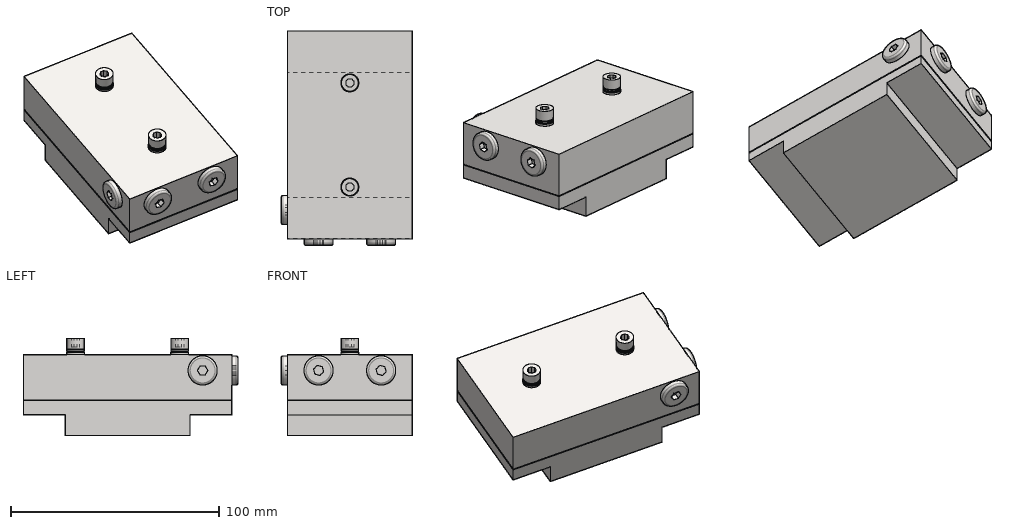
import cadquery as cq
import math

body_width = 60.0
body_length = 100.0
foot_length = body_width
foot_height = 10.0
plate_height = 7.0
block_height = 14.9
seam_groove_height = 0.2
seam_groove_depth = 0.2

seam_z = foot_height + plate_height
block_bottom_z = seam_z + plate_height
body_top_z = block_bottom_z + block_height

plug_diameter = 14.0
plug_height = 3.0
plug_rim_radius = 1.0
plug_socket_sides = 6
plug_socket_flats = 4.3
plug_socket_depth = plug_height
plug_drop = 7.6
plug_z = body_top_z - plug_drop
front_plug_x = body_width / 4
side_plug_inset = 14.0
side_plug_y = side_plug_inset - body_length / 2
front_socket_turn = 45
side_socket_turn = 90

nipple_height = 7.7
nipple_spacing = body_length / 2
collar_radius = 4.3
stem_radius = 4.2
undercut_radius = 4.0
collar_height = 1.0
undercut_cone_z = 1.3
undercut_top_z = 1.8
groove_bottom_z = 2.4
groove_top_z = 2.7
groove_radius = 4.1
nipple_socket_sides = 8
nipple_socket_flats = 3.9
nipple_socket_depth = 4.0
nipple_socket_turn = 180 / nipple_socket_sides


def slab(length, height, bottom_z):
    """Full-width rectangular layer of the body."""
    return cq.Workplane("XY", origin=(0, 0, bottom_z)).box(
        body_width, length, height, centered=(True, True, False)
    )


def make_body():
    """Foot, plates and block, with a fine groove around the joint between the plates."""
    body = slab(foot_length, foot_height, 0)
    body = body.union(slab(body_length, body_top_z - foot_height, foot_height))
    groove_bottom = seam_z - seam_groove_height / 2
    core = cq.Workplane("XY", origin=(0, 0, groove_bottom)).box(
        body_width - 2 * seam_groove_depth,
        body_length - 2 * seam_groove_depth,
        seam_groove_height,
        centered=(True, True, False),
    )
    return body.cut(slab(body_length, seam_groove_height, groove_bottom).cut(core))


def cut_socket(solid, sides, top, flats, depth, turn):
    """Sink a regular polygon into a +Z end face; one corner lies at `turn` degrees from +X."""
    corner_diameter = flats / math.cos(math.pi / sides)
    socket = (
        cq.Workplane("XY", origin=(0, 0, top - depth))
        .polygon(sides, corner_diameter)
        .extrude(depth)
        .rotate((0, 0, 0), (0, 0, 1), turn)
    )
    return solid.cut(socket)


def make_plug(socket_turn):
    """Screw plug standing on the XY plane, pointing along +Z."""
    plug = cq.Workplane("XY").circle(plug_diameter / 2).extrude(plug_height)
    plug = plug.faces(">Z").edges().fillet(plug_rim_radius)
    return cut_socket(
        plug, plug_socket_sides, plug_height, plug_socket_flats, plug_socket_depth, socket_turn
    )


def make_nipple():
    """Turned nipple standing on the XY plane, pointing along +Z."""
    profile = [
        (0, 0),
        (collar_radius, 0),
        (collar_radius, collar_height),
        (undercut_radius, collar_height),
        (undercut_radius, undercut_cone_z),
        (stem_radius, undercut_top_z),
        (stem_radius, groove_bottom_z),
        (groove_radius, groove_bottom_z),
        (groove_radius, groove_top_z),
        (stem_radius, groove_top_z),
        (stem_radius, nipple_height),
        (0, nipple_height),
    ]
    nipple = cq.Workplane("XZ").polyline(profile).close().revolve(360, (0, 0, 0), (0, 1, 0))
    return cut_socket(
        nipple,
        nipple_socket_sides,
        nipple_height,
        nipple_socket_flats,
        nipple_socket_depth,
        nipple_socket_turn,
    )


result = make_body()

front_plug = make_plug(front_socket_turn).rotate((0, 0, 0), (1, 0, 0), 90)
for x in (-front_plug_x, front_plug_x):
    result = result.union(front_plug.translate((x, -body_length / 2, plug_z)))

side_plug = make_plug(side_socket_turn).rotate((0, 0, 0), (0, 1, 0), -90)
result = result.union(side_plug.translate((-body_width / 2, side_plug_y, plug_z)))

nipple = make_nipple()
for y in (-nipple_spacing / 2, nipple_spacing / 2):
    result = result.union(nipple.translate((0, y, body_top_z)))